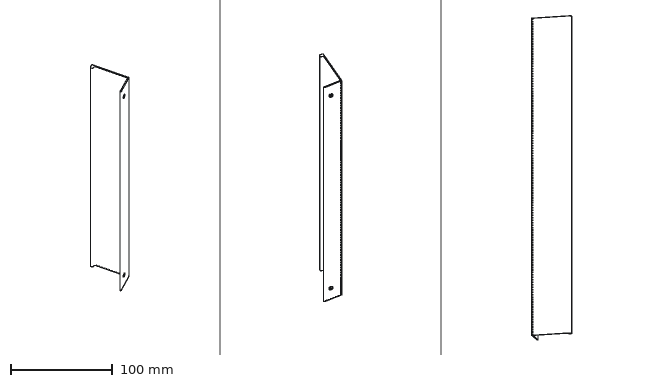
import cadquery as cq

width = 40.0
depth = 20.0
length = 320.0

wall = 1.2
lip_width = 3.0
edge_radius = 1.0
lip_root_radius = 2.0
lip_depth = wall + lip_root_radius + edge_radius

hole_diameter = 4.2
hole_to_back = 12.0
hole_to_end = 16.0


def make_profile_bar():
    """Flat web along the back, side flange at +X and a thick rounded lip at -X."""
    left = -width / 2
    right = width / 2
    back = depth / 2
    front = -depth / 2
    web_face = back - wall
    flange_face = right - wall
    lip_face = back - lip_depth
    lip_side = left + lip_width
    return (
        cq.Workplane("XY", origin=(0, 0, -length / 2))
        .moveTo(left + edge_radius, back)
        .lineTo(right, back)
        .lineTo(right, front + edge_radius)
        .radiusArc((right - edge_radius, front), edge_radius)
        .lineTo(flange_face, front)
        .lineTo(flange_face, web_face)
        .lineTo(lip_side + lip_root_radius, web_face)
        .radiusArc((lip_side, web_face - lip_root_radius), -lip_root_radius)
        .radiusArc((lip_side - edge_radius, lip_face), edge_radius)
        .lineTo(left + edge_radius, lip_face)
        .radiusArc((left, lip_face + edge_radius), edge_radius)
        .lineTo(left, back - edge_radius)
        .radiusArc((left + edge_radius, back), edge_radius)
        .close()
        .extrude(length)
    )


def make_mounting_holes():
    """One hole near each end, drilled along X through the side flange."""
    hole_y = depth / 2 - hole_to_back
    hole_z = length / 2 - hole_to_end
    return (
        cq.Workplane("YZ")
        .pushPoints([(hole_y, -hole_z), (hole_y, hole_z)])
        .circle(hole_diameter / 2)
        .extrude(width / 2)
    )


result = make_profile_bar().cut(make_mounting_holes())